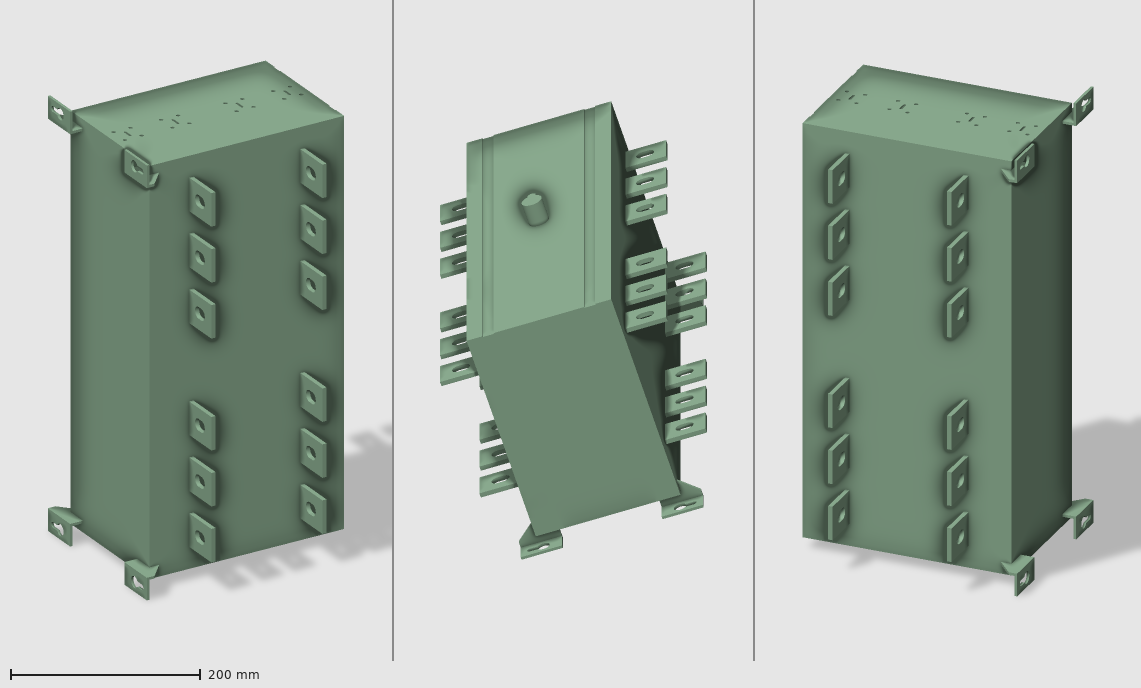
import cadquery as cq
BODY_X = 160.0
BODY_Y = 240.0
BODY_Z = 480.5
FRONT_Y = -BODY_Y / 2
BACK_Y = BODY_Y / 2

BAR_SPAN = 250.0
BAR_THICK = 5.0
BAR_HEIGHT = 39.0
BAR_OUTER_Z = 195.5
BAR_PITCH = BAR_OUTER_Z / 3
BAR_LEVELS = [-3, -2, -1, 1, 2, 3]
BAR_ROW_Y = 68.5
BAR_SLOT_X = 101.5
BAR_SLOT_LENGTH = 19.5
BAR_SLOT_WIDTH = 13.5

FOOT_THICK = 3.0
FOOT_OVERHANG = 15.5
FOOT_INNER_X = 55.0
FOOT_OUTER_X = 100.5
FOOT_TOP_Z = 253.0
FOOT_HEIGHT = 26.5
FOOT_EDGE_Y = 9.5
FOOT_REACH_Y = 28.0
FOOT_Y = FRONT_Y - FOOT_OVERHANG
FOOT_WEB_Z = FOOT_TOP_Z - FOOT_HEIGHT

KEYHOLE_X = 75.5
KEYHOLE_Z = 242.0
KEYHOLE_DIAMETER = 13.5
KEYHOLE_SLOT_WIDTH = 6.5
KEYHOLE_SLOT_END_X = 93.5

SHAFT_RADIUS = 11.0
SHAFT_LENGTH = 25.5
KEY_RADIUS = 4.5
KEY_TIP_Z = 16.0

MARK_ROWS_Y = [-98.0, -39.5, 39.5, 98.0]
MARK_DEPTH = 1.5
MARK_HOLE_DIAMETER = 4.5
MARK_HOLE_SPACING_X = 23.0
MARK_HOLE_SPACING_Y = 20.5
MARK_SLOT_LENGTH = 13.0
MARK_SLOT_WIDTH = 3.0

GROOVE_X = 56.0
GROOVE_WIDTH = 12.0
GROOVE_DEPTH = 1.0


def make_bar(y, z):
    bar = cq.Workplane("XY").box(BAR_SPAN, BAR_THICK, BAR_HEIGHT)
    slots = (
        cq.Workplane("XZ")
        .pushPoints([(-BAR_SLOT_X, 0), (BAR_SLOT_X, 0)])
        .slot2D(BAR_SLOT_LENGTH, BAR_SLOT_WIDTH)
        .extrude(BAR_THICK, both=True)
    )
    return bar.cut(slots).translate((0, y, z))


def make_foot():
    """Foot at the +X, +Z corner; the other three are mirror images."""
    flange = cq.Workplane("XY").box(
        FOOT_OUTER_X - FOOT_INNER_X, FOOT_THICK, FOOT_HEIGHT, centered=False
    )
    flange = flange.translate((FOOT_INNER_X, FOOT_Y, FOOT_WEB_Z))
    web = (
        cq.Workplane("XY", origin=(0, FOOT_Y, FOOT_WEB_Z))
        .moveTo(FOOT_INNER_X, 0)
        .lineTo(FOOT_OUTER_X, 0)
        .lineTo(FOOT_OUTER_X, FOOT_EDGE_Y)
        .lineTo(BODY_X / 2, FOOT_REACH_Y)
        .lineTo(FOOT_INNER_X, FOOT_REACH_Y)
        .close()
        .extrude(FOOT_THICK)
    )
    slot_length = KEYHOLE_SLOT_END_X - KEYHOLE_X + KEYHOLE_SLOT_WIDTH / 2
    slot_middle_x = KEYHOLE_SLOT_END_X - slot_length / 2
    flange_plane = cq.Workplane("XZ", origin=(0, FOOT_Y, 0))
    keyhole_round = (
        flange_plane.center(KEYHOLE_X, KEYHOLE_Z)
        .circle(KEYHOLE_DIAMETER / 2)
        .extrude(-FOOT_THICK)
    )
    keyhole_slot = (
        flange_plane.center(slot_middle_x, KEYHOLE_Z)
        .slot2D(slot_length, KEYHOLE_SLOT_WIDTH)
        .extrude(-FOOT_THICK)
    )
    flange = flange.cut(keyhole_round).cut(keyhole_slot)
    return flange.union(web)


def make_shaft():
    back_plane = cq.Workplane("XZ", origin=(0, BACK_Y, 0))
    shaft = back_plane.circle(SHAFT_RADIUS).extrude(-SHAFT_LENGTH)
    key = back_plane.center(0, KEY_TIP_Z - KEY_RADIUS).circle(KEY_RADIUS).extrude(-SHAFT_LENGTH)
    return shaft.union(key)


def make_mark(y):
    top_plane = cq.Workplane("XY", origin=(0, y, BODY_Z / 2))
    holes = (
        top_plane.rect(MARK_HOLE_SPACING_X, MARK_HOLE_SPACING_Y, forConstruction=True)
        .vertices()
        .circle(MARK_HOLE_DIAMETER / 2)
        .extrude(-MARK_DEPTH)
    )
    slot = top_plane.slot2D(MARK_SLOT_LENGTH, MARK_SLOT_WIDTH).extrude(-MARK_DEPTH)
    return holes.union(slot)


result = cq.Workplane("XY").box(BODY_X, BODY_Y, BODY_Z)

for groove_x in (-GROOVE_X, GROOVE_X):
    groove = cq.Workplane("XY").box(GROOVE_WIDTH, 2 * GROOVE_DEPTH, BODY_Z)
    result = result.cut(groove.translate((groove_x, BACK_Y, 0)))

for mark_y in MARK_ROWS_Y:
    result = result.cut(make_mark(mark_y))

for bar_y in (-BAR_ROW_Y, BAR_ROW_Y):
    for level in BAR_LEVELS:
        result = result.union(make_bar(bar_y, level * BAR_PITCH))

upper_foot = make_foot()
upper_feet = upper_foot.union(upper_foot.mirror("YZ"))
result = result.union(upper_feet).union(upper_feet.mirror("XY"))

result = result.union(make_shaft())